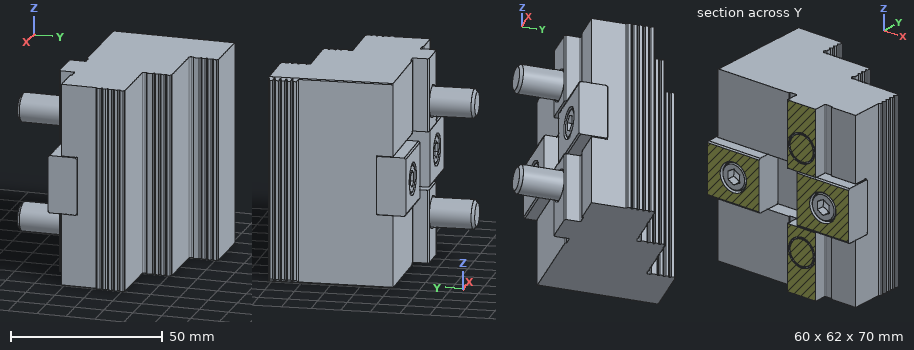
import cadquery as cq
import math

JAW_HEIGHT = 70.0
STEP_RUN = 20.0
STEP_DROP = 10.0
STEP_COUNT = 3
JAW_WIDTH = STEP_COUNT * STEP_RUN
BODY_DEPTH = 42.0
EDGE_CHAMFER = 1.0

TOOTH_PITCH = 2.0
TOOTH_DEPTH = 0.65
TOOTH_WIDTH = 1.0
GROOVE_FLAT = 0.3
TOOTH_FLANK = (TOOTH_PITCH - TOOTH_WIDTH - GROOVE_FLAT) / 2
FULL_TEETH = 5
SHORT_TEETH = 3
BROAD_TOOTH_END = 8.4
CORNER_RADIUS = 0.7

RIB_CENTER_X = 40.0
RIB_WIDTH = 12.0
RIB_BOTTOM = 47.0
RIB_CHAMFER = 0.5
RELIEF_WIDTH = 3.0
RELIEF_DEPTH = 0.5
RIB_ROOT_RADIUS = 0.3

SLOT_WIDTH = 20.0
SLOT_FLOOR = 36.5
BLOCK_LENGTH = 22.0
BLOCK_THICKNESS = 10.0
BLOCK_CHAMFER = 0.5

SCREW_INSET = 11.0
HEAD_DIAMETER = 10.0
HEAD_CLEARANCE_DIAMETER = 11.0
HEAD_RECESS = 0.25
HEAD_CHAMFER = 0.4
HEAD_GAP_DEPTH = 2.0
HEX_ACROSS_FLATS = 5.0
HEX_DEPTH = 3.0
HEX_TIP_DEPTH = 1.5

PIN_DIAMETER = 10.0
PIN_CLEARANCE_DIAMETER = 11.0
PIN_GAP_DEPTH = 1.0
PIN_LENGTH = 15.0
PIN_CHAMFER = 1.0
PIN_SPACING = 38.0


def extrude_z(profile, height):
    """Extrude a profile along Z, centred on Z = 0."""
    return profile.extrude(height / 2, both=True)


def cylinder_down(x, y, z, diameter, length):
    """Cylinder that starts at height y and runs towards -Y."""
    start = cq.Vector(x, y, z)
    return cq.Workplane(cq.Solid.makeCylinder(diameter / 2, length, start, cq.Vector(0, -1, 0)))


def tooth_points(face_x, top_y, count, outward):
    """Toothed line going down from top_y; outward is +1 for +X, -1 for -X."""
    root_x = face_x - outward * TOOTH_DEPTH
    points = [(root_x, top_y)]
    for i in range(count):
        tip_top = top_y - i * TOOTH_PITCH - GROOVE_FLAT / 2 - TOOTH_FLANK
        tip_bottom = tip_top - TOOTH_WIDTH
        points.append((root_x, tip_top + TOOTH_FLANK))
        points.append((face_x, tip_top))
        points.append((face_x, tip_bottom))
        points.append((root_x, tip_bottom - TOOTH_FLANK))
    return points


def end_face_points(face_x, top_y, outward):
    """Toothed strip of an end face, then the plain wall down to the mounting face."""
    wall_x = face_x - outward * TOOTH_DEPTH
    strip_end_y = top_y - FULL_TEETH * TOOTH_PITCH
    teeth = tooth_points(face_x, top_y, FULL_TEETH, outward)
    return teeth[:-1] + [(wall_x, strip_end_y), (wall_x, -BODY_DEPTH)]


def inner_riser(outline, face_x, top_y):
    """Add a toothed riser that ends in a rounded corner relief on the step below."""
    root_x = face_x - TOOTH_DEPTH
    floor_y = top_y - STEP_DROP
    broad_start_y = top_y - SHORT_TEETH * TOOTH_PITCH - GROOVE_FLAT / 2
    broad_end_y = top_y - BROAD_TOOTH_END
    for point in tooth_points(face_x, top_y, SHORT_TEETH, 1):
        outline = outline.lineTo(*point)
    outline = (
        outline.lineTo(root_x, broad_start_y)
        .lineTo(face_x, broad_start_y - TOOTH_FLANK)
        .lineTo(face_x, broad_end_y)
        .lineTo(root_x, broad_end_y - TOOTH_FLANK)
        .lineTo(root_x, floor_y + CORNER_RADIUS)
    )
    return outline.radiusArc((root_x + CORNER_RADIUS, floor_y), -CORNER_RADIUS)


def make_body():
    left_face = end_face_points(0, 0, -1)
    right_face = end_face_points(JAW_WIDTH, -(STEP_COUNT - 1) * STEP_DROP, 1)
    outline = cq.Workplane("XY").moveTo(*left_face[0])
    for step in range(1, STEP_COUNT):
        outline = inner_riser(outline, step * STEP_RUN, -(step - 1) * STEP_DROP)
    for point in right_face + left_face[:0:-1]:
        outline = outline.lineTo(*point)
    return extrude_z(outline.close(), JAW_HEIGHT)


def chamfer_left_end(body):
    half = JAW_HEIGHT / 2
    for side in (1, -1):
        corner = (
            cq.Workplane("XZ")
            .polyline([(0, side * half), (EDGE_CHAMFER, side * half), (0, side * (half - EDGE_CHAMFER))])
            .close()
            .extrude(BODY_DEPTH)
        )
        body = body.cut(corner)
    return body


def add_rib(body):
    relief_span = RIB_WIDTH + 2 * RELIEF_WIDTH
    relief_center_y = -BODY_DEPTH + RELIEF_DEPTH / 2
    relief_profile = cq.Workplane("XY").center(RIB_CENTER_X, relief_center_y).rect(relief_span, RELIEF_DEPTH)
    relief = extrude_z(relief_profile, JAW_HEIGHT)
    rib_depth = RIB_BOTTOM - SLOT_FLOOR
    rib_center_y = -(RIB_BOTTOM + SLOT_FLOOR) / 2
    rib_profile = cq.Workplane("XY").center(RIB_CENTER_X, rib_center_y).rect(RIB_WIDTH, rib_depth)
    rib = extrude_z(rib_profile, JAW_HEIGHT)
    rib = rib.faces("<Y").edges("|Z").chamfer(RIB_CHAMFER)
    body = body.cut(relief).union(rib)
    root_y = -BODY_DEPTH + RELIEF_DEPTH
    for root_x in (RIB_CENTER_X - RIB_WIDTH / 2, RIB_CENTER_X + RIB_WIDTH / 2):
        root_edge = cq.selectors.NearestToPointSelector((root_x, root_y, 0))
        body = body.edges("|Z").edges(root_edge).fillet(RIB_ROOT_RADIUS)
    return body


def cut_cross_slot(body):
    slot_depth = RIB_BOTTOM - SLOT_FLOOR
    slot = cq.Workplane("XY").box(JAW_WIDTH, slot_depth, SLOT_WIDTH, centered=(False, False, True))
    return body.cut(slot.translate((0, -RIB_BOTTOM, 0)))


def make_block(start_x, screw_x):
    bottom_y = -SLOT_FLOOR - BLOCK_THICKNESS
    block = (
        cq.Workplane("XY")
        .box(BLOCK_LENGTH, BLOCK_THICKNESS, SLOT_WIDTH, centered=(False, False, True))
        .edges("|X")
        .chamfer(BLOCK_CHAMFER)
        .translate((start_x, bottom_y, 0))
    )
    bore_floor = bottom_y + HEAD_GAP_DEPTH
    head_y = bottom_y + HEAD_RECESS
    bore = cylinder_down(screw_x, bore_floor, 0, HEAD_CLEARANCE_DIAMETER, HEAD_GAP_DEPTH)
    head = cylinder_down(screw_x, bore_floor, 0, HEAD_DIAMETER, bore_floor - head_y)
    head = head.faces("<Y").chamfer(HEAD_CHAMFER)
    return block.cut(bore).union(head).cut(make_hex_socket(screw_x, head_y))


def make_hex_socket(x, head_y):
    """Hexagon socket with two corners on the Z direction and a conical end."""
    corner_diameter = HEX_ACROSS_FLATS / math.cos(math.pi / 6)
    prism = (
        cq.Workplane("XZ", origin=(x, head_y, 0))
        .transformed(rotate=(0, 0, 90))
        .polygon(6, corner_diameter)
        .extrude(-(HEX_DEPTH + HEX_TIP_DEPTH))
    )
    cone_base = cq.Vector(x, head_y + HEX_DEPTH, 0)
    straight = cylinder_down(x, head_y + HEX_DEPTH, 0, corner_diameter, HEX_DEPTH)
    tip = cq.Workplane(
        cq.Solid.makeCone(corner_diameter / 2, 0, HEX_TIP_DEPTH, cone_base, cq.Vector(0, 1, 0))
    )
    return prism.intersect(straight.union(tip))


def add_pin(body, z):
    gap_floor = -RIB_BOTTOM + PIN_GAP_DEPTH
    gap = cylinder_down(RIB_CENTER_X, gap_floor, z, PIN_CLEARANCE_DIAMETER, PIN_GAP_DEPTH)
    pin = cylinder_down(RIB_CENTER_X, gap_floor, z, PIN_DIAMETER, PIN_GAP_DEPTH + PIN_LENGTH)
    pin = pin.faces("<Y").chamfer(PIN_CHAMFER)
    return body.cut(gap).union(pin)


jaw = cut_cross_slot(add_rib(chamfer_left_end(make_body())))
jaw = jaw.union(make_block(0, SCREW_INSET))
jaw = jaw.union(make_block(JAW_WIDTH - BLOCK_LENGTH, JAW_WIDTH - SCREW_INSET))
for pin_z in (-PIN_SPACING / 2, PIN_SPACING / 2):
    jaw = add_pin(jaw, pin_z)
result = jaw